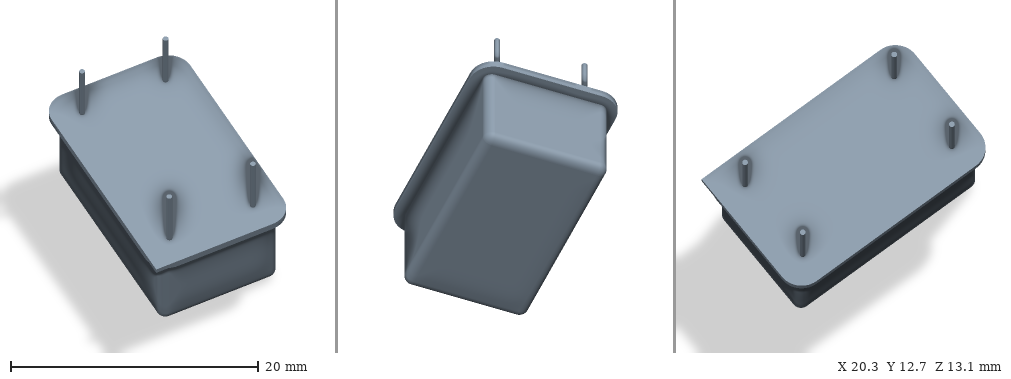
import cadquery as cq

length = 20.27
width = 12.65
height = 13.07

plate_thickness = 0.4
flange_thickness = 0.2
corner_radius = 2.0

flange_overhang = 0.95
can_edge_radius = 0.77

pin_diameter = 0.47
pin_length_above_plate = 5.09
insulator_diameter = 1.52
pin_pitch_x = 15.25
pin_pitch_y = 7.62

can_height = height - pin_length_above_plate - plate_thickness
can_length = length - 2 * flange_overhang
can_width = width - 2 * flange_overhang
pin_length = plate_thickness + pin_length_above_plate
pin_positions = [
    (x_side * pin_pitch_x / 2, y_side * pin_pitch_y / 2)
    for x_side in (-1, 1)
    for y_side in (-1, 1)
]


def make_can():
    """Solid can with rounded side and bottom edges and a flange around its top."""
    flange = (
        cq.Workplane("XY")
        .rect(length, width)
        .extrude(-flange_thickness)
        .edges("|Z")
        .fillet(corner_radius)
    )
    body = (
        cq.Workplane("XY")
        .rect(can_length, can_width)
        .extrude(-can_height)
        .edges("|Z or <Z")
        .fillet(can_edge_radius)
    )
    return body.union(flange)


def make_plate():
    """Plate with three round corners, one square index corner and insulator holes."""
    plate = cq.Workplane("XY").rect(length, width).extrude(plate_thickness)
    plate = plate.edges("|Z and (<X or >Y)").fillet(corner_radius)
    holes = (
        cq.Workplane("XY")
        .pushPoints(pin_positions)
        .circle(insulator_diameter / 2)
        .extrude(plate_thickness)
    )
    return plate.cut(holes)


def make_insulator(x, y):
    """Ring that fills a plate hole and leaves a bore for the pin."""
    return (
        cq.Workplane("XY")
        .center(x, y)
        .circle(insulator_diameter / 2)
        .circle(pin_diameter / 2)
        .extrude(plate_thickness)
    )


def make_pin(x, y):
    """Straight pin from the underside of the plate to its free end."""
    return cq.Workplane("XY").center(x, y).circle(pin_diameter / 2).extrude(pin_length)


can = make_can()
plate = make_plate()
insulators = [make_insulator(x, y) for x, y in pin_positions]
pins = [make_pin(x, y) for x, y in pin_positions]

result = cq.Compound.makeCompound(
    [
        can.val(),
        plate.val(),
        *[insulator.val() for insulator in insulators],
        *[pin.val() for pin in pins],
    ]
)